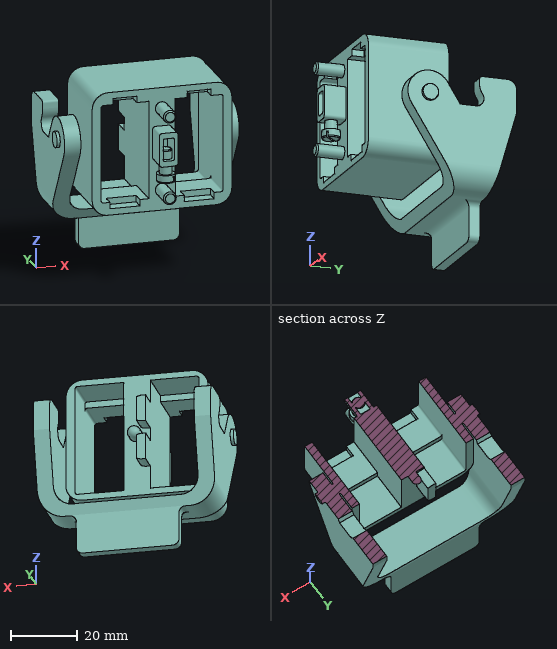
import cadquery as cq
import math


body_width = 44.0
body_height = 39.0
body_depth = 26.0
body_rear = 8.3
body_front = body_rear - body_depth
body_corner_radius = 5.0
side_wall = 2.8
top_wall = 4.05
web_width = 8.3
window_width = (body_width - 2 * side_wall - web_width) / 2
window_height = body_height - 2 * top_wall
window_x = (web_width + window_width) / 2
window_corner_radius = 0.8

recess_depth = 4.0
recess_height = 2.0
top_recess_width = 7.45
bottom_recess_width = 9.4

rear_cavity_depth = 13.0
rear_cavity_step = 2.0

pin_x = -0.1
pin_radius = 2.0
pin_length = 9.0
pin_spacing = 25.9
pin_chamfer = 0.5

block_width = 6.0
block_height = 10.75
block_length = 7.0
block_z = 1.95
block_corner_radius = 1.0
socket_width = 3.5
socket_height = 7.15
socket_corner_radius = 0.55
screw_y = -21.4
screw_radius = 1.95
screw_tip_z = 1.35
screw_tip_chamfer = 0.3
head_radius = 2.8
head_top_z = -6.5
head_height = 2.5
head_chamfer_height = 0.35
head_chamfer_width = 0.2
driver_slot_width = 0.6
driver_slot_depth = 1.7
driver_slot_angle = -45

contact_x = 0.3
contact_radius = 2.0
contact_length = 4.5
key_height = 8.3
key_length = 6.3
key_gap = 4.05
key_left_x = -4.15
key_straight = 1.05
key_right_x = -1.3

bail_width = 55.0
arm_thickness = 5.15
bail_bottom_z = -29.2
base_thickness = 3.4
bail_outer_radius = 8.0
bail_inner_radius = 5.55
eye_radius = 7.0
hinge_radius = 2.5
hinge_span = 57.0
hinge_embed = 1.2

hook_seat_radius = 2.5
hook_seat_y = 15.0
hook_floor_end_y = 9.9
hook_nose_y = 16.1
hook_nose_radius = 5.0
hook_tip_radius = 1.0
hook_back_y = 28.05
hook_back_radius = 3.0
hook_back_low_z = -3.55
bail_bottom_front_y = 9.95

handle_rear_y = 20.6
handle_thickness = 3.55
handle_width = 31.9
handle_bottom_z = -41.6
handle_corner_radius = 2.0
handle_root_radius = 2.0


def box_between(x_range, y_range, z_range):
    """Box spanning the given (low, high) ranges."""
    size = [high - low for low, high in (x_range, y_range, z_range)]
    low_corner = (x_range[0], y_range[0], z_range[0])
    return cq.Workplane("XY").box(*size, centered=False).translate(low_corner)


def front_prism(width, height, corner_radius, x, z, y_start, length):
    """Rounded rectangle in XZ, extruded from y_start towards -Y."""
    return (
        cq.Workplane("XZ", origin=(x, y_start, z))
        .rect(width, height)
        .extrude(length)
        .edges("|Y")
        .fillet(corner_radius)
    )


def window_prism(side, height, depth):
    """Window opening from the rear face forwards; only the corners by the side wall are round."""
    return (
        cq.Workplane("XZ", origin=(side * window_x, body_rear, 0))
        .rect(window_width, height)
        .extrude(depth)
        .edges("|Y and >X" if side > 0 else "|Y and <X")
        .fillet(window_corner_radius)
    )


def make_housing():
    housing = front_prism(body_width, body_height, body_corner_radius, 0, 0, body_rear, body_depth)
    recess_y = (body_front, body_front + recess_depth)
    half_window = window_height / 2
    for side in (-1, 1):
        x = side * window_x
        window = window_prism(side, window_height, body_depth)
        rear_cavity = window_prism(side, window_height + 2 * rear_cavity_step, rear_cavity_depth)
        top_recess = box_between(
            (x - top_recess_width / 2, x + top_recess_width / 2),
            recess_y,
            (0, half_window + recess_height),
        )
        bottom_recess = box_between(
            (x - bottom_recess_width / 2, x + bottom_recess_width / 2),
            recess_y,
            (-half_window - recess_height, 0),
        )
        housing = housing.cut(window).cut(rear_cavity).cut(top_recess).cut(bottom_recess)
    return housing


def make_guide_pins():
    return (
        cq.Workplane("XZ", origin=(0, body_front, 0))
        .pushPoints([(pin_x, pin_spacing / 2), (pin_x, -pin_spacing / 2)])
        .circle(pin_radius)
        .extrude(pin_length)
        .faces("<Y")
        .chamfer(pin_chamfer)
    )


def make_screw():
    head_bottom_z = head_top_z - head_height
    shank = (
        cq.Workplane("XY", origin=(0, screw_y, head_top_z))
        .circle(screw_radius)
        .extrude(screw_tip_z - head_top_z)
        .faces(">Z")
        .chamfer(screw_tip_chamfer)
    )
    head = (
        cq.Workplane("XY", origin=(0, screw_y, head_bottom_z))
        .circle(head_radius)
        .extrude(head_height)
        .faces("<Z")
        .chamfer(head_chamfer_height, head_chamfer_width)
    )
    driver_slot = (
        cq.Workplane("XY", origin=(0, screw_y, head_bottom_z))
        .transformed(rotate=(0, 0, driver_slot_angle))
        .rect(2 * head_radius, driver_slot_width)
        .extrude(driver_slot_depth)
    )
    return head.cut(driver_slot).union(shank)


def make_terminal_block():
    block = front_prism(
        block_width, block_height, block_corner_radius, 0, block_z, body_front, block_length
    )
    socket = front_prism(
        socket_width, socket_height, socket_corner_radius, 0, block_z, body_front, block_length
    )
    return block.cut(socket).union(make_screw())


def make_contact_pin():
    """Round pin with a hemispherical end, pointing to +Y."""
    return (
        cq.Workplane("XY", origin=(contact_x, body_rear, 0))
        .lineTo(contact_radius, 0)
        .lineTo(contact_radius, contact_length - contact_radius)
        .radiusArc((0, contact_length), -contact_radius)
        .close()
        .revolve(360, (0, 0, 0), (0, 1, 0))
    )


def make_keys():
    """Two keys mirrored about Z = 0, each flat outside and rounded towards +X."""
    key_radius = key_height / 2
    key_z = key_gap / 2 + key_radius
    arc_x = key_left_x + key_straight
    end_half_height = math.sqrt(key_radius**2 - (key_right_x - arc_x) ** 2)
    upper_key = (
        cq.Workplane("XZ", origin=(0, body_rear, key_z))
        .moveTo(key_left_x, key_radius)
        .lineTo(arc_x, key_radius)
        .radiusArc((key_right_x, end_half_height), key_radius)
        .lineTo(key_right_x, -end_half_height)
        .radiusArc((arc_x, -key_radius), key_radius)
        .lineTo(key_left_x, -key_radius)
        .close()
        .extrude(-key_length)
    )
    return upper_key.union(upper_key.mirror("XY"))


def eye_tangent_point(point, side):
    """Where a line from point (y, z) touches the bail eye; side +1 or -1 picks the tangent."""
    angle = math.atan2(point[1], point[0]) + side * math.acos(eye_radius / math.hypot(*point))
    return (eye_radius * math.cos(angle), eye_radius * math.sin(angle))


def make_bail_side():
    """Side outline of the bail in YZ, extruded over the full bail width."""
    floor_end = (hook_floor_end_y, -hook_seat_radius)
    bottom_front = (bail_bottom_front_y, bail_bottom_z)
    nose_dy = hook_nose_y + hook_nose_radius - hook_seat_y
    centre_distance = hook_seat_radius + hook_nose_radius
    nose_z = math.sqrt(centre_distance**2 - nose_dy**2)
    seat_share = hook_seat_radius / centre_distance
    seat_end = (hook_seat_y + nose_dy * seat_share, nose_z * seat_share)

    return (
        cq.Workplane("YZ", origin=(-bail_width / 2, 0, 0))
        .moveTo(*bottom_front)
        .lineTo(*eye_tangent_point(bottom_front, -1))
        .threePointArc((-eye_radius, 0), (0, eye_radius))
        .radiusArc(eye_tangent_point(floor_end, 1), eye_radius)
        .lineTo(*floor_end)
        .lineTo(hook_seat_y, -hook_seat_radius)
        .threePointArc((hook_seat_y + hook_seat_radius, 0), seat_end)
        .radiusArc((hook_nose_y, nose_z), hook_nose_radius)
        .lineTo(hook_nose_y, eye_radius - hook_tip_radius)
        .radiusArc((hook_nose_y + hook_tip_radius, eye_radius), hook_tip_radius)
        .lineTo(hook_back_y - hook_back_radius, eye_radius)
        .radiusArc((hook_back_y, eye_radius - hook_back_radius), hook_back_radius)
        .lineTo(hook_back_y, hook_back_low_z)
        .lineTo(handle_rear_y, bail_bottom_z)
        .close()
        .extrude(bail_width)
    )


def u_block(half_width, bottom_z, corner_radius):
    """Block across the whole bail in Y, with its two lower edges rounded."""
    y_range = (-eye_radius, hook_back_y)
    block = box_between((-half_width, half_width), y_range, (bottom_z, eye_radius))
    return block.edges("|Y and <Z").fillet(corner_radius)


def make_handle():
    """Flat tab under the bail, flaring out at its root on three sides."""
    half_width = handle_width / 2
    root_z = bail_bottom_z - handle_root_radius
    top_z = bail_bottom_z + base_thickness / 2
    flared_half_width = half_width + handle_root_radius
    front_y = handle_rear_y - handle_thickness
    flared_front_y = front_y - handle_root_radius

    front_outline = (
        cq.Workplane("XZ", origin=(0, handle_rear_y, 0))
        .moveTo(-flared_half_width, bail_bottom_z)
        .radiusArc((-half_width, root_z), handle_root_radius)
        .lineTo(-half_width, handle_bottom_z)
        .lineTo(half_width, handle_bottom_z)
        .lineTo(half_width, root_z)
        .radiusArc((flared_half_width, bail_bottom_z), handle_root_radius)
        .lineTo(flared_half_width, top_z)
        .lineTo(-flared_half_width, top_z)
        .close()
        .extrude(handle_rear_y - flared_front_y)
        .edges("|Y and <Z")
        .fillet(handle_corner_radius)
    )
    side_outline = (
        cq.Workplane("YZ", origin=(-flared_half_width, 0, 0))
        .moveTo(handle_rear_y, top_z)
        .lineTo(handle_rear_y, handle_bottom_z)
        .lineTo(front_y, handle_bottom_z)
        .lineTo(front_y, root_z)
        .radiusArc((flared_front_y, bail_bottom_z), -handle_root_radius)
        .lineTo(flared_front_y, top_z)
        .close()
        .extrude(2 * flared_half_width)
    )
    return front_outline.intersect(side_outline)


def make_bail():
    outside = u_block(bail_width / 2, bail_bottom_z, bail_outer_radius)
    inside = u_block(
        bail_width / 2 - arm_thickness, bail_bottom_z + base_thickness, bail_inner_radius
    )
    return make_bail_side().intersect(outside.cut(inside)).union(make_handle())


def make_hinge_pins():
    """Hinge pins from the housing sides out through the bail eyes."""
    inner_x = body_width / 2 - hinge_embed
    right_pin = (
        cq.Workplane("YZ", origin=(inner_x, 0, 0))
        .circle(hinge_radius)
        .extrude(hinge_span / 2 - inner_x)
    )
    return right_pin.union(right_pin.mirror("YZ"))


result = (
    make_housing()
    .union(make_guide_pins())
    .union(make_terminal_block())
    .union(make_contact_pin())
    .union(make_keys())
    .union(make_bail())
    .union(make_hinge_pins())
)